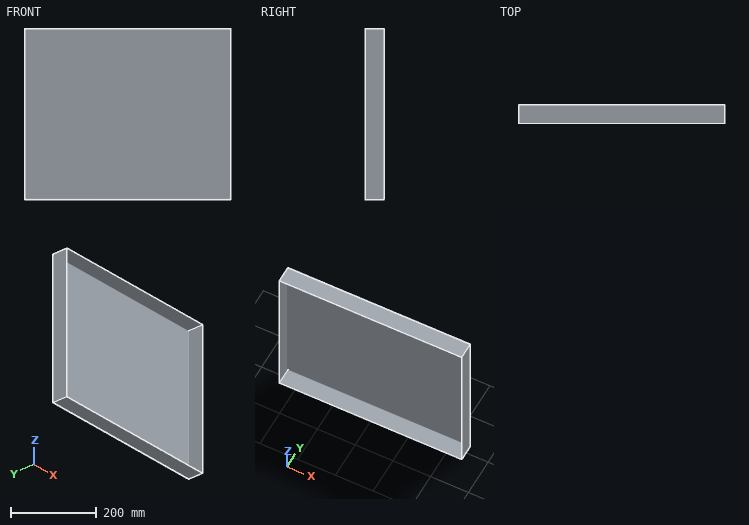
import cadquery as cq

width = 485.0
depth = 44.5
height = 402.5

sheet = 1.0
outer_radius = 2.0
floor_radius = 1.5


def tray_body():
    """Solid block with rounded corners and a rounded back edge."""
    block = cq.Workplane("XY").box(width, depth, height)
    block = block.edges("|Y").fillet(outer_radius)
    return block.faces(">Y").edges().fillet(outer_radius)


def hollow():
    """Space inside the walls, one sheet thickness short of the back and open at the front."""
    space = cq.Workplane("XY").box(width - 2 * sheet, depth, height - 2 * sheet)
    space = space.faces(">Y").edges().fillet(floor_radius)
    return space.translate((0, -sheet, 0))


result = tray_body().cut(hollow())